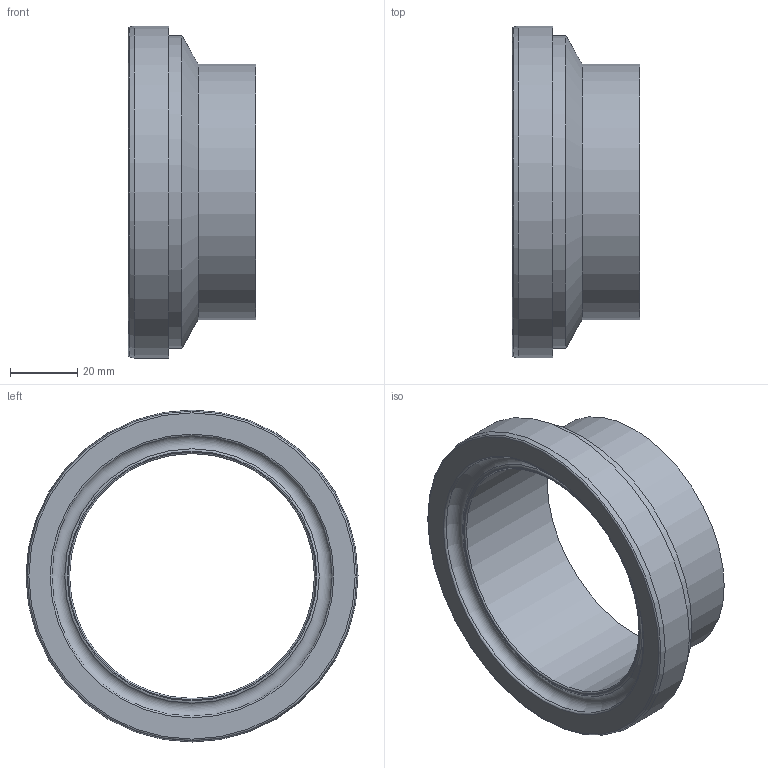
import cadquery as cq
import math


total_length = 38.0
flange_length = 12.0
shoulder_end = 16.0

flange_radius = 98.9 / 2
shoulder_radius = 93.0 / 2
pipe_radius = 76.2 / 2
bore_radius = 72.9 / 2

cone_angle = math.radians(60)

taper_length = 1.8
taper_angle = math.radians(15)
rim_edge_radius = 0.5

groove_center = (2.0, 39.65)
groove_radius = 2.5
mouth_edge_radius = 0.5

lip_depth = 3.5
lip_groove_side_radius = 1.0
lip_bore_side_radius = 0.45


def arc_point(center, radius, angle):
    """Point of a circle, with the angle measured from +X toward +r."""
    return (center[0] + radius * math.cos(angle), center[1] + radius * math.sin(angle))


def add_arc(path, center, radius, start_angle, end_angle):
    """Continue the path along an arc from its current point at start_angle."""
    middle = arc_point(center, radius, (start_angle + end_angle) / 2)
    return path.threePointArc(middle, arc_point(center, radius, end_angle))


def add_outside(path):
    """From the sealing face around the rim, shoulder, cone and pipe to the rear end of the bore."""
    edge_tangent_x = rim_edge_radius * (1 - math.sin(taper_angle))
    edge_tangent_r = flange_radius - (taper_length - edge_tangent_x) * math.tan(taper_angle)
    edge_center = (rim_edge_radius, edge_tangent_r - rim_edge_radius * math.cos(taper_angle))
    cone_end = shoulder_end + (shoulder_radius - pipe_radius) / math.tan(cone_angle)

    path = path.lineTo(0, edge_center[1])
    path = add_arc(path, edge_center, rim_edge_radius, math.pi, math.pi / 2 + taper_angle)
    path = path.lineTo(taper_length, flange_radius)
    path = path.lineTo(flange_length, flange_radius)
    path = path.lineTo(flange_length, shoulder_radius)
    path = path.lineTo(shoulder_end, shoulder_radius)
    path = path.lineTo(cone_end, pipe_radius)
    path = path.lineTo(total_length, pipe_radius)
    return path.lineTo(total_length, bore_radius)


def add_lip(path, lip_center, lip_tangent_angle):
    """From the bore over the rounded lip to its tangent point with the groove."""
    bore_edge_center = (lip_depth + lip_bore_side_radius, bore_radius + lip_bore_side_radius)

    path = path.lineTo(bore_edge_center[0], bore_radius)
    path = add_arc(path, bore_edge_center, lip_bore_side_radius, -math.pi / 2, -math.pi)
    path = path.lineTo(lip_depth, lip_center[1])
    return add_arc(path, lip_center, lip_groove_side_radius, math.pi, lip_tangent_angle + math.pi)


def half_section():
    """Closed half section of the ring; the lip and mouth roundings are tangent to the groove circle."""
    mouth_center_x = mouth_edge_radius
    mouth_distance = groove_radius + mouth_edge_radius
    mouth_angle = math.acos((mouth_center_x - groove_center[0]) / mouth_distance)
    mouth_center = arc_point(groove_center, mouth_distance, mouth_angle)

    lip_center_x = lip_depth + lip_groove_side_radius
    lip_distance = groove_radius + lip_groove_side_radius
    lip_angle = -math.acos((lip_center_x - groove_center[0]) / lip_distance)
    lip_center = arc_point(groove_center, lip_distance, lip_angle)

    path = cq.Workplane("XY").moveTo(0, mouth_center[1])
    path = add_outside(path)
    path = add_lip(path, lip_center, lip_angle)
    path = add_arc(path, groove_center, groove_radius, lip_angle, mouth_angle)
    path = add_arc(path, mouth_center, mouth_edge_radius, mouth_angle - math.pi, -math.pi)
    return path.close()


result = half_section().revolve(360, (0, 0, 0), (1, 0, 0))